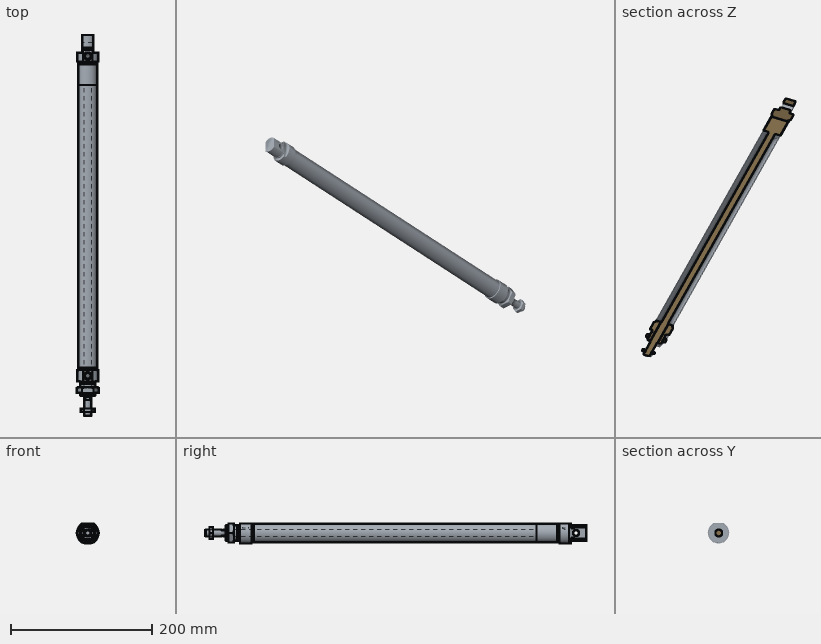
import cadquery as cq
import math


total_length = 540.0
rod_nut_start = 6.0
rod_nut_thickness = 5.0
flats_start = 23.0
flats_length = 4.0
nose_start = 28.5
mount_nut_start = 33.0
mount_nut_thickness = 8.0
shoulder_length = 1.5
groove_width = 2.0
cap_length = 16.0
front_cap_start = 49.0
collar_length = 1.5
spigot_length = 2.0
piston_start = 469.0
tang_length = 21.5
tang_flat_length = 25.0

rod_diameter = 10.0
rod_flats = 8.0
thread_diameter = 22.0
groove_diameter = 20.5
cap_diameter = 30.0
tube_diameter = 27.0
tube_bore = 25.0
port_diameter = 8.5
pin_hole_diameter = 8.0
rod_nut_flats = 17.5
mount_nut_flats = 27.0
tang_width = 16.0

port_flat_height = 13.5
port_depth = 6.5
port_chamfer = 0.8
drill_point_angle = 118
pin_hole_inset = 14.5
rod_chamfer = 1.0
nose_chamfer = 1.5
hex_chamfer_height = 1.0

front_cap_end = front_cap_start + cap_length
rear_cap_end = total_length - tang_length
rear_cap_start = rear_cap_end - cap_length
tube_start = front_cap_end + collar_length
tube_end = rear_cap_start - collar_length
tube_length = tube_end - tube_start


def cylinder(diameter, start, length):
    """Cylinder around the Y axis, from Y = start to Y = start + length."""
    base = cq.Plane(origin=(0, start, 0), xDir=(1, 0, 0), normal=(0, 1, 0))
    return cq.Workplane(base).circle(diameter / 2).extrude(length)


def block(width, length, height, x=0.0, y=0.0, z=0.0):
    """Box centred on the given point."""
    return cq.Workplane("XY").box(width, length, height).translate((x, y, z))


def hex_prism(across_flats, start, length):
    """Hexagonal prism around the Y axis with flats facing up and down."""
    base = cq.Plane(origin=(0, start, 0), xDir=(1, 0, 0), normal=(0, 1, 0))
    corner_diameter = across_flats / math.cos(math.pi / 6)
    return cq.Workplane(base).polygon(6, corner_diameter).extrude(length)


def cone(top_radius, tip_radius, height, centre_y, top_z):
    """Cone pointing down from Z = top_z."""
    top = cq.Vector(0, centre_y, top_z)
    return cq.Workplane(cq.Solid.makeCone(top_radius, tip_radius, height, top, cq.Vector(0, 0, -1)))


def make_cap_body(start):
    """Round cap with a flat along its top and a chamfered blind port in that flat."""
    centre_y = start + cap_length / 2
    port_radius = port_diameter / 2
    flat_depth = cap_diameter / 2 - port_flat_height
    flat = block(cap_diameter, cap_length, flat_depth, y=centre_y, z=port_flat_height + flat_depth / 2)
    port_plane = cq.Workplane("XY", origin=(0, centre_y, port_flat_height))
    port = port_plane.circle(port_radius).extrude(-port_depth)
    mouth = cone(port_radius + port_chamfer, port_radius, port_chamfer, centre_y, port_flat_height)
    return cylinder(cap_diameter, start, cap_length).cut(flat).cut(port).cut(mouth)


def make_front_cap():
    shoulder_start = front_cap_start - shoulder_length
    groove_start = shoulder_start - groove_width
    cap = make_cap_body(front_cap_start)
    nose = cylinder(thread_diameter, nose_start, groove_start - nose_start)
    cap = cap.union(nose.faces("<Y").chamfer(nose_chamfer))
    cap = cap.union(cylinder(groove_diameter, groove_start, groove_width))
    cap = cap.union(cylinder(thread_diameter, shoulder_start, shoulder_length))
    cap = cap.union(cylinder(tube_diameter, front_cap_end, collar_length))
    cap = cap.union(cylinder(tube_bore, tube_start, spigot_length))
    rod_bore = cylinder(rod_diameter, nose_start, tube_start + spigot_length - nose_start)
    return cap.cut(rod_bore)


def make_rear_cap():
    groove_start = rear_cap_end + shoulder_length
    thread_start = groove_start + groove_width
    cap = make_cap_body(rear_cap_start)
    cap = cap.union(cylinder(tube_bore, tube_end - spigot_length, spigot_length))
    cap = cap.union(cylinder(tube_diameter, tube_end, collar_length))
    cap = cap.union(cylinder(thread_diameter, rear_cap_end, shoulder_length))
    cap = cap.union(cylinder(groove_diameter, groove_start, groove_width))
    cap = cap.union(cylinder(thread_diameter, thread_start, total_length - thread_start))

    port_radius = port_diameter / 2
    point_height = port_radius / math.tan(math.radians(drill_point_angle / 2))
    port_bottom = port_flat_height - port_depth
    cap = cap.cut(cone(port_radius, 0, point_height, rear_cap_start + cap_length / 2, port_bottom))

    flat_depth = (cap_diameter - tang_width) / 2
    flat_x = (cap_diameter + tang_width) / 4
    flat_y = total_length - tang_flat_length / 2
    for side in (-1, 1):
        cap = cap.cut(block(flat_depth, tang_flat_length, cap_diameter, x=side * flat_x, y=flat_y))

    hole_plane = cq.Workplane("YZ", origin=(0, total_length - pin_hole_inset, 0))
    return cap.cut(hole_plane.circle(pin_hole_diameter / 2).extrude(tang_width / 2, both=True))


def make_tube():
    return cylinder(tube_diameter, tube_start, tube_length).cut(cylinder(tube_bore, tube_start, tube_length))


def make_rod():
    """Rod in its retracted position, with wrench flats at the front and the piston at the rear."""
    rod = cylinder(rod_diameter, 0, piston_start).faces("<Y").chamfer(rod_chamfer)
    flat_depth = (rod_diameter - rod_flats) / 2
    flat_z = (rod_diameter + rod_flats) / 4
    flat_y = flats_start + flats_length / 2
    for side in (-1, 1):
        rod = rod.cut(block(rod_diameter, flats_length, flat_depth, y=flat_y, z=side * flat_z))
    piston = cylinder(tube_bore, piston_start, tube_end - spigot_length - piston_start)
    return rod.union(piston)


def make_rod_nut():
    nut = hex_prism(rod_nut_flats, rod_nut_start, rod_nut_thickness)
    return nut.cut(cylinder(rod_diameter, rod_nut_start, rod_nut_thickness))


def make_mount_nut():
    nut = hex_prism(mount_nut_flats, mount_nut_start, mount_nut_thickness)
    corner_diameter = mount_nut_flats / math.cos(math.pi / 6)
    bevel_depth = (corner_diameter - mount_nut_flats) / 2
    turned_blank = cylinder(corner_diameter, mount_nut_start, mount_nut_thickness)
    turned_blank = turned_blank.faces(">Y").chamfer(hex_chamfer_height, bevel_depth)
    nut = nut.intersect(turned_blank)
    return nut.cut(cylinder(thread_diameter, mount_nut_start, mount_nut_thickness))


front_cap = make_front_cap()
rear_cap = make_rear_cap()
tube = make_tube()
rod = make_rod()
rod_nut = make_rod_nut()
mount_nut = make_mount_nut()

result = cq.Compound.makeCompound(
    [front_cap.val(), rear_cap.val(), tube.val(), rod.val(), rod_nut.val(), mount_nut.val()]
)